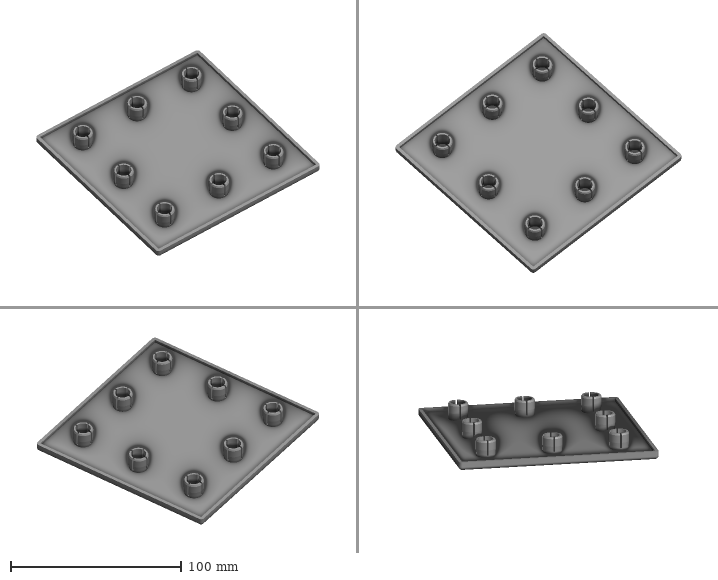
import cadquery as cq

plate_size = 120.0
plate_height = 5.0
rim_width = 2.0
floor_thickness = 3.0
edge_radius = 2.0

overall_height = 13.0
socket_diameter = 12.0
bore_diameter = 9.0
foot_diameter = 11.25
taper_top = 7.4
mouth_chamfer_width = 0.5
mouth_chamfer_height = 1.0
slot_width = 1.0
slot_floor = 4.0
socket_pitch = 40.0


def make_tray():
    """Plate with rounded sides and underside, and a square recess in its top."""
    plate = (
        cq.Workplane("XY")
        .box(plate_size, plate_size, plate_height, centered=(True, True, False))
        .edges("|Z")
        .fillet(edge_radius)
        .faces("<Z")
        .edges()
        .fillet(edge_radius)
    )
    recess_size = plate_size - 2 * rim_width
    recess = (
        cq.Workplane("XY")
        .workplane(offset=floor_thickness)
        .rect(recess_size, recess_size)
        .extrude(plate_height - floor_thickness)
    )
    return plate.cut(recess)


def make_socket():
    """Tube with a tapered foot and chamfered mouth, split into four fingers by crossed slots."""
    outer_radius = socket_diameter / 2
    bore_radius = bore_diameter / 2
    tube = (
        cq.Workplane("XZ")
        .moveTo(bore_radius, floor_thickness)
        .lineTo(foot_diameter / 2, floor_thickness)
        .lineTo(outer_radius, taper_top)
        .lineTo(outer_radius, overall_height - mouth_chamfer_height)
        .lineTo(outer_radius - mouth_chamfer_width, overall_height)
        .lineTo(bore_radius, overall_height)
        .close()
        .revolve(360, (0, 0, 0), (0, 1, 0))
    )
    slot = (
        cq.Workplane("XY")
        .workplane(offset=slot_floor)
        .rect(socket_diameter, slot_width)
        .extrude(overall_height - slot_floor)
    )
    crossing_slot = slot.rotate((0, 0, 0), (0, 0, 1), 90)
    return tube.cut(slot).cut(crossing_slot)


def socket_positions():
    """Centres of a three by three grid without its middle place."""
    steps = (-socket_pitch, 0, socket_pitch)
    return [(x, y) for x in steps for y in steps if (x, y) != (0, 0)]


result = make_tray()
socket = make_socket()
for x, y in socket_positions():
    result = result.union(socket.translate((x, y, 0)))